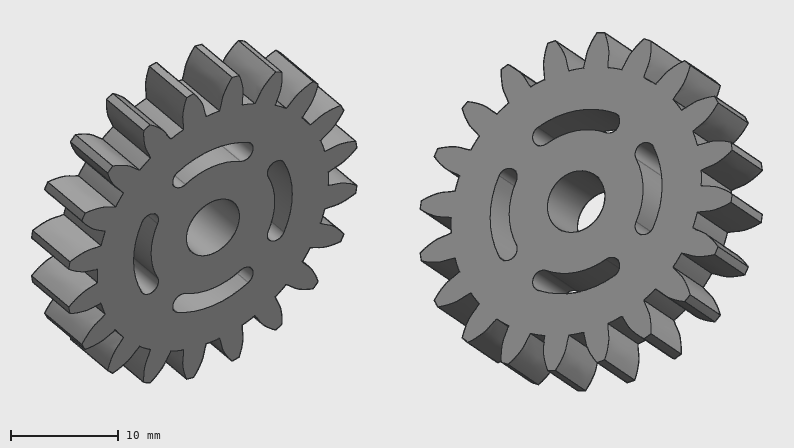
import cadquery as cq
import math

face_width = 6.0
width_across_tips = 32.7
tooth_count = 20
pressure_angle = math.radians(20)
flank_backlash = math.radians(0.4)
root_half_angle = math.radians(5.7)
addendum_factor = 1.0
dedendum_factor = 1.25
involute_points = 6

bore_diameter = 6.02
slot_count = 4
slot_mid_radius = 8.0
slot_width = 2.0
slot_half_angle = math.radians(26.4)


def involute_angle(angle):
    """Polar angle swept by an involute at the given pressure angle, in radians."""
    return math.tan(angle) - angle


tooth_pitch = 2 * math.pi / tooth_count
tip_to_pitch_ratio = (tooth_count + 2 * addendum_factor) / tooth_count
base_half_angle = tooth_pitch / 4 - flank_backlash + involute_angle(pressure_angle)
tip_pressure_angle = math.acos(math.cos(pressure_angle) / tip_to_pitch_ratio)
tip_half_angle = base_half_angle - involute_angle(tip_pressure_angle)

tip_radius = width_across_tips / 2 / math.cos(tooth_pitch / 2 - tip_half_angle)
pitch_radius = tip_radius / tip_to_pitch_ratio
module = 2 * pitch_radius / tooth_count
base_radius = pitch_radius * math.cos(pressure_angle)
root_radius = pitch_radius - dedendum_factor * module


def polar(radius, angle):
    """Point in the YZ plane, with the angle measured from +Y."""
    return (radius * math.cos(angle), radius * math.sin(angle))


def face_plane():
    """YZ plane on the -X face; the part is centred on X = 0."""
    return cq.Workplane("YZ", origin=(-face_width / 2, 0, 0))


def flank(tooth_angle, side):
    """Root corner, then involute points from base circle to tip; side is -1 or +1."""
    points = [polar(root_radius, tooth_angle + side * root_half_angle)]
    for i in range(involute_points):
        radius = base_radius + (tip_radius - base_radius) * i / (involute_points - 1)
        half_angle = base_half_angle - involute_angle(math.acos(base_radius / radius))
        points.append(polar(radius, tooth_angle + side * half_angle))
    return points


def gear_blank():
    """Toothed disc: each flank is one smooth curve, involute above the base circle."""
    first_tooth = tooth_pitch / 2
    outline = face_plane().moveTo(*polar(root_radius, first_tooth - root_half_angle))
    for i in range(tooth_count):
        tooth_angle = first_tooth + i * tooth_pitch
        rising = flank(tooth_angle, -1)
        falling = flank(tooth_angle, 1)[::-1]
        gap_middle = tooth_angle + tooth_pitch / 2
        next_root = tooth_angle + tooth_pitch - root_half_angle
        outline = (
            outline.spline(rising[1:], includeCurrent=True)
            .threePointArc(polar(tip_radius, tooth_angle), falling[0])
            .spline(falling[1:], includeCurrent=True)
            .threePointArc(polar(root_radius, gap_middle), polar(root_radius, next_root))
        )
    return outline.close().extrude(face_width)


def bore():
    """Through hole on the gear axis."""
    return face_plane().circle(bore_diameter / 2).extrude(face_width)


def curved_slot(middle):
    """Round-ended through slot that follows a circle about the gear axis."""
    inner = slot_mid_radius - slot_width / 2
    outer = slot_mid_radius + slot_width / 2
    start = middle - slot_half_angle
    end = middle + slot_half_angle
    cap_radius = math.hypot(slot_mid_radius, slot_width / 2)
    cap_angle = math.atan(slot_width / 2 / slot_mid_radius)
    return (
        face_plane()
        .moveTo(*polar(outer, start))
        .threePointArc(polar(outer, middle), polar(outer, end))
        .threePointArc(polar(cap_radius, end + cap_angle), polar(inner, end))
        .threePointArc(polar(inner, middle), polar(inner, start))
        .threePointArc(polar(cap_radius, start - cap_angle), polar(outer, start))
        .close()
        .extrude(face_width)
    )


result = gear_blank().cut(bore())
for i in range(slot_count):
    result = result.cut(curved_slot(i * 2 * math.pi / slot_count))